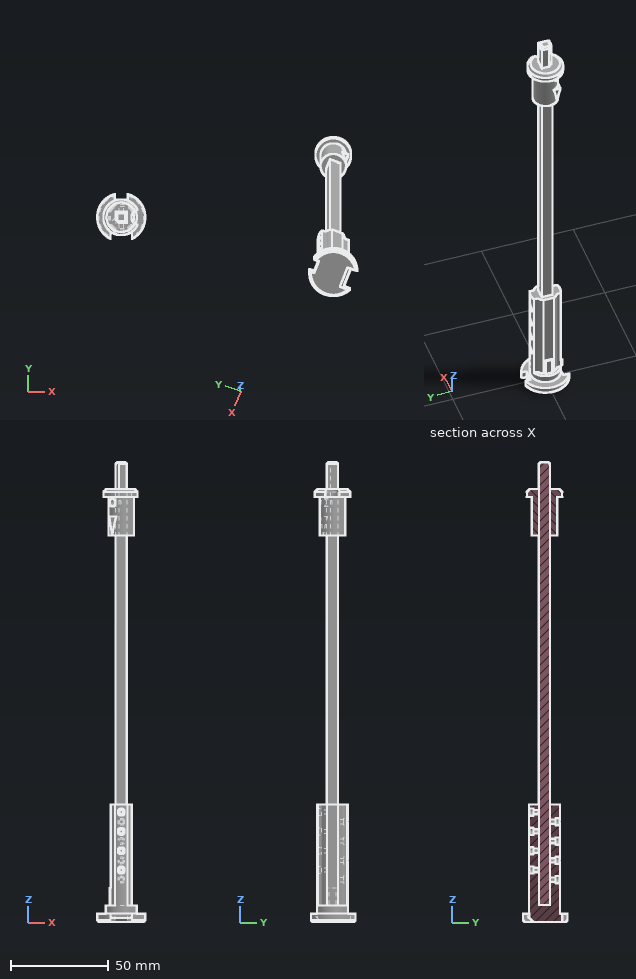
import cadquery as cq
import math

overall_height = 237.0
shaft_side = 6.0
shaft_bottom = 8.5
shaft_end_chamfer = 1.0
corner_flat_leg = 2.0

collar_bottom = 199.0
rim_bottom = 219.0
collar_top = 223.3
sleeve_radius = 6.6
rim_radius = 9.2
rim_chamfer = 1.7
rim_notch_start = 5.2
rim_notch_radius = 3.8
set_screw_diameter = 4.0
set_screw_height = 216.1
pointer_top = 209.0
pointer_reach = 6.2

flange_radius = 12.45
flange_height = 4.3
flange_chamfer = 1.0
hub_radius = 8.0
hub_top = 8.5
front_notch_half_width = 5.5
front_notch_fillet = 0.7
front_notch_floor = 7.8
front_notch_chamfer = 2.1
back_notch_half_width = 3.3
back_notch_floor = 9.2
post_top = 60.7
post_radius = 6.2
rib_width = 6.5
rib_root_fillet = 1.5
post_half_width = 5.5
key_width = 3.5
key_reach = 6.2
key_top = 17.5
clamp_hole_diameter = 2.1
clamp_counterbore_diameter = 3.5
clamp_counterbore_depth = 2.4
clamp_hole_count = 4
clamp_hole_pitch = 10.0
front_hole_bottom = 26.8


def cylinder(radius, bottom, top):
    """Upright cylinder on the shaft axis."""
    return cq.Workplane("XY").workplane(offset=bottom).circle(radius).extrude(top - bottom)


def block(x_range, y_range, z_range):
    """Box given by its (low, high) limits on each axis."""
    lows, highs = zip(x_range, y_range, z_range)
    sizes = [high - low for low, high in zip(lows, highs)]
    return cq.Workplane("XY").box(*sizes, centered=False).translate(lows)


def build_shaft():
    half = shaft_side / 2
    bar = block((-half, half), (-half, half), (shaft_bottom, overall_height))
    bar = bar.faces(">Z").chamfer(shaft_end_chamfer)
    corner = -half
    flat_cutter = (
        cq.Workplane("XY")
        .workplane(offset=collar_bottom)
        .moveTo(corner, corner)
        .lineTo(corner + corner_flat_leg, corner)
        .lineTo(corner, corner + corner_flat_leg)
        .close()
        .extrude(overall_height - collar_bottom)
    )
    return bar.cut(flat_cutter)


def build_pointer():
    """Square corner that stands out of the sleeve and tapers down to nothing at its lower edge."""
    flush_reach = sleeve_radius / math.sqrt(2)
    return (
        cq.Workplane("XY")
        .workplane(offset=collar_bottom)
        .rect(-flush_reach, -flush_reach, centered=False)
        .workplane(offset=pointer_top - collar_bottom)
        .rect(-pointer_reach, -pointer_reach, centered=False)
        .loft()
    )


def build_collar(shaft):
    rim = cylinder(rim_radius, rim_bottom, collar_top).faces(">Z").chamfer(rim_chamfer)
    rim_notch = cylinder(rim_notch_radius, rim_bottom, collar_top)
    rim_notch = rim_notch.translate((rim_notch_start + rim_notch_radius, 0, 0))
    rim = rim.cut(rim_notch)

    screw_plane = cq.Plane(origin=(0, 0, set_screw_height), xDir=(1, -1, 0), normal=(-1, -1, 0))
    set_screw_hole = cq.Workplane(screw_plane).circle(set_screw_diameter / 2).extrude(rim_radius)
    return (
        cylinder(sleeve_radius, collar_bottom, rim_bottom)
        .union(rim)
        .union(build_pointer())
        .cut(set_screw_hole)
        .cut(shaft)
    )


def build_flange():
    flange = cylinder(flange_radius, 0, flange_height).faces("<Z").chamfer(flange_chamfer)
    back_notch = block(
        (-back_notch_half_width, back_notch_half_width),
        (back_notch_floor, flange_radius),
        (0, flange_height),
    )
    front_notch = (
        cq.Workplane("YZ")
        .moveTo(-flange_radius, 0)
        .lineTo(-front_notch_floor + front_notch_chamfer, 0)
        .lineTo(-front_notch_floor, front_notch_chamfer)
        .lineTo(-front_notch_floor, flange_height)
        .lineTo(-flange_radius, flange_height)
        .close()
        .extrude(front_notch_half_width, both=True)
        .edges("|Z and (not <Y)")
        .fillet(front_notch_fillet)
    )
    return flange.cut(back_notch).cut(front_notch)


def build_post():
    """Round post with a rib on +Y and -Y and flattened X sides."""
    half_rib = rib_width / 2
    ribs = block((-half_rib, half_rib), (-hub_radius, hub_radius), (hub_top, post_top))
    ribs = ribs.intersect(cylinder(hub_radius, hub_top, post_top))
    post = cylinder(post_radius, hub_top, post_top).union(ribs)
    root_y = math.sqrt(post_radius**2 - half_rib**2)
    mid_height = (hub_top + post_top) / 2
    for x in (-half_rib, half_rib):
        for y in (-root_y, root_y):
            root_edge = cq.selectors.NearestToPointSelector((x, y, mid_height))
            post = post.edges(root_edge).fillet(rib_root_fillet)

    side_limits = block(
        (-post_half_width, post_half_width), (-hub_radius, hub_radius), (hub_top, post_top)
    )
    key = block((-key_reach, -post_half_width), (-key_width / 2, key_width / 2), (hub_top, key_top))
    return post.intersect(side_limits).union(key)


def clamp_hole(side, height):
    """Stepped screw hole from the axis out through one rib; side is -1 for -Y or 1 for +Y."""
    plane = cq.Plane(origin=(0, 0, height), xDir=(1, 0, 0), normal=(0, side, 0))
    hole = cq.Workplane(plane).circle(clamp_hole_diameter / 2).extrude(hub_radius)
    counterbore = (
        cq.Workplane(plane)
        .workplane(offset=hub_radius - clamp_counterbore_depth)
        .circle(clamp_counterbore_diameter / 2)
        .extrude(clamp_counterbore_depth)
    )
    return hole.union(counterbore)


def build_base(shaft):
    hub = cylinder(hub_radius, flange_height, hub_top)
    base = build_flange().union(hub).union(build_post())
    for index in range(clamp_hole_count):
        front_height = front_hole_bottom + index * clamp_hole_pitch
        back_height = front_height - clamp_hole_pitch / 2
        base = base.cut(clamp_hole(-1, front_height))
        base = base.cut(clamp_hole(1, back_height))
    return base.cut(shaft)


shaft = build_shaft()
collar = build_collar(shaft)
base = build_base(shaft)

result = cq.Compound.makeCompound([shaft.val(), collar.val(), base.val()])